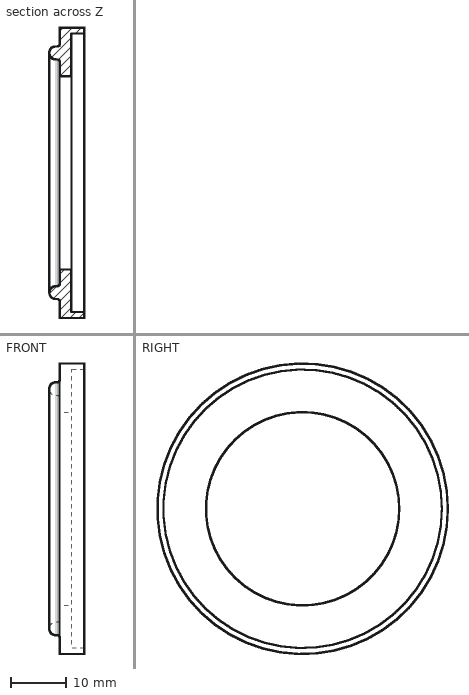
import cadquery as cq

outer_diameter = 52.7
bore_diameter = 35.0
total_thickness = 6.4
bead_outer_diameter = 45.9
bead_inner_diameter = 41.1
bead_height = 1.9
root_fillet = 0.4
recess_diameter = 50.5
web_thickness = 2.1

face_x = bead_height - total_thickness
bead_outer_radius = bead_outer_diameter / 2
bead_inner_radius = bead_inner_diameter / 2
crown_radius = (bead_outer_radius - bead_inner_radius) / 2
bead_middle_radius = (bead_outer_radius + bead_inner_radius) / 2
tip_x = -total_thickness
crown_x = tip_x + crown_radius
web_back_x = face_x + web_thickness
root_x = face_x - root_fillet


def ring_body():
    """Flat ring around the X axis."""
    return (
        cq.Workplane("YZ")
        .circle(outer_diameter / 2)
        .circle(bore_diameter / 2)
        .extrude(face_x)
    )


def back_recess():
    """Wide round recess in the back face that leaves a thin rim around the web."""
    return (
        cq.Workplane("YZ")
        .circle(recess_diameter / 2)
        .extrude(web_back_x)
    )


def sealing_bead():
    """Round-topped bead with concave fillets at its root, revolved about X."""
    return (
        cq.Workplane("XY")
        .moveTo(web_back_x, bead_inner_radius - root_fillet)
        .lineTo(face_x, bead_inner_radius - root_fillet)
        .radiusArc((root_x, bead_inner_radius), -root_fillet)
        .lineTo(crown_x, bead_inner_radius)
        .threePointArc((tip_x, bead_middle_radius), (crown_x, bead_outer_radius))
        .lineTo(root_x, bead_outer_radius)
        .radiusArc((face_x, bead_outer_radius + root_fillet), -root_fillet)
        .lineTo(web_back_x, bead_outer_radius + root_fillet)
        .close()
        .revolve(360, (0, 0, 0), (1, 0, 0))
    )


result = ring_body().cut(back_recess()).union(sealing_bead())